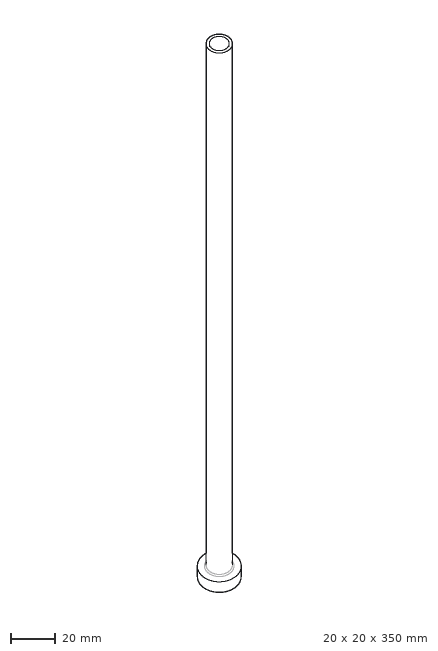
import cadquery as cq

total_length = 350.0

tube_diameter = 12.0
bore_diameter = 9.0

head_diameter = 20.0
head_height = 7.0
fillet_radius = 0.7


def make_sleeve():
    """Revolve the wall section, bored right through, about the Z axis."""
    tube_radius = tube_diameter / 2
    bore_radius = bore_diameter / 2
    head_radius = head_diameter / 2
    section = (
        cq.Workplane("XZ")
        .moveTo(bore_radius, 0)
        .lineTo(head_radius, 0)
        .lineTo(head_radius, head_height)
        .lineTo(tube_radius + fillet_radius, head_height)
        .radiusArc((tube_radius, head_height + fillet_radius), fillet_radius)
        .lineTo(tube_radius, total_length)
        .lineTo(bore_radius, total_length)
        .close()
    )
    return section.revolve(360, (0, 0, 0), (0, 1, 0))


result = make_sleeve()